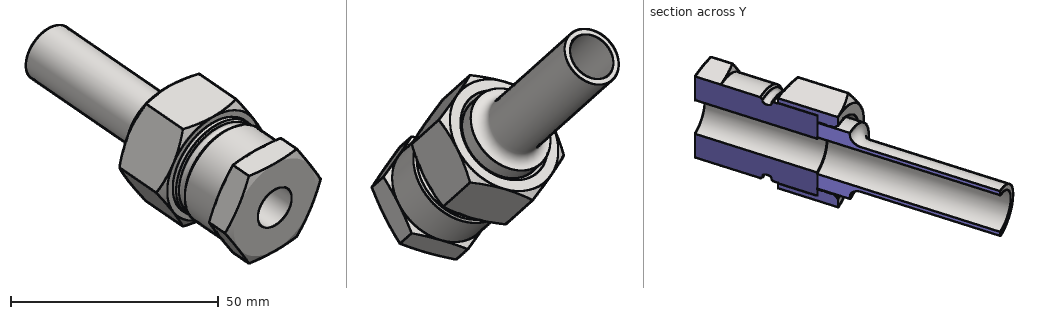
import cadquery as cq
import math

TUBE_START = 0.0
FLARE_START = 36.9
COLLAR_START = 39.85
NUT_START = 43.0
JOINT = 48.6
NUT_END = 59.0
THREAD_END = 60.2
BODY_HEX_START = 74.0
BODY_END = 81.0

TUBE_DIA = 15.0
TUBE_BORE = 12.0
COLLAR_DIA = 22.0
FLARE_RADIUS = COLLAR_START - FLARE_START

NUT_FLATS = 30.0
NUT_MOUTH_DIA = 24.1
NUT_HOLE_DIA = 22.1
NUT_CORNER_SLOPE = 30.0
MOUTH_DEPTH = (NUT_MOUTH_DIA - NUT_HOLE_DIA) / 2

THREAD_DIA = 26.4
BODY_DIA = 27.0
BODY_BORE = 11.0
BODY_FRONT_SLOPE = 15.0
BODY_END_SLOPE = 16.0
BODY_END_FACE_DIA = 26.6
GROOVE_DIA = 23.4
GROOVE_FLOOR_WIDTH = 0.6
GROOVE_FILLET = 0.9
THREAD_CHAMFER = 0.5
BARREL_CHAMFER = 0.6


def revolve_about_x(profile):
    """Turn a closed (x, radius) profile around the X axis."""
    return profile.close().revolve(360, (0, 0, 0), (1, 0, 0))


def cylinder(start, end, diameter):
    return cq.Workplane("YZ", origin=(start, 0, 0)).circle(diameter / 2).extrude(end - start)


def corner_circle(flats):
    return flats / math.cos(math.radians(30))


def chamfered_hex(start, end, flats, start_face_dia, start_slope, end_face_dia, end_slope):
    """Hexagon with corners on +Y and -Y, its corners turned to a cone at both ends."""
    corner_dia = corner_circle(flats)
    prism = cq.Workplane("YZ", origin=(start, 0, 0)).polygon(6, corner_dia).extrude(end - start)
    outer = corner_dia / 2
    start_depth = (outer - start_face_dia / 2) * math.tan(math.radians(start_slope))
    end_depth = (outer - end_face_dia / 2) * math.tan(math.radians(end_slope))
    envelope = revolve_about_x(
        cq.Workplane("XY")
        .moveTo(start, 0)
        .lineTo(start, start_face_dia / 2)
        .lineTo(start + start_depth, outer)
        .lineTo(end - end_depth, outer)
        .lineTo(end, end_face_dia / 2)
        .lineTo(end, 0)
    )
    return prism.intersect(envelope)


def make_tube():
    """Plain tube that flares out to the collar held by the nut."""
    sweep = FLARE_RADIUS * math.sin(math.radians(45))
    flare_top = TUBE_DIA / 2 + FLARE_RADIUS
    return revolve_about_x(
        cq.Workplane("XY")
        .moveTo(TUBE_START, TUBE_BORE / 2)
        .lineTo(TUBE_START, TUBE_DIA / 2)
        .lineTo(FLARE_START, TUBE_DIA / 2)
        .threePointArc((FLARE_START + sweep, flare_top - sweep), (COLLAR_START, flare_top))
        .lineTo(COLLAR_START, COLLAR_DIA / 2)
        .lineTo(JOINT, COLLAR_DIA / 2)
        .lineTo(JOINT, TUBE_BORE / 2)
    )


def make_nut():
    """Union nut: countersunk collar hole, then a wider bore for the body's threaded end."""
    nut = chamfered_hex(
        NUT_START, NUT_END, NUT_FLATS, NUT_FLATS, NUT_CORNER_SLOPE, NUT_FLATS, NUT_CORNER_SLOPE
    )
    mouth = revolve_about_x(
        cq.Workplane("XY")
        .moveTo(NUT_START, 0)
        .lineTo(NUT_START, NUT_MOUTH_DIA / 2)
        .lineTo(NUT_START + MOUTH_DEPTH, NUT_HOLE_DIA / 2)
        .lineTo(NUT_START + MOUTH_DEPTH, 0)
    )
    collar_hole = cylinder(NUT_START, JOINT, NUT_HOLE_DIA)
    thread_bore = cylinder(JOINT, NUT_END, THREAD_DIA)
    return nut.cut(mouth).cut(collar_hole).cut(thread_bore)


def make_body():
    """Threaded end, relief groove, round barrel and end hexagon, bored through."""
    floor = GROOVE_DIA / 2
    arc_top = floor + GROOVE_FILLET
    sweep = GROOVE_FILLET * math.sin(math.radians(45))
    front_wall = THREAD_END + THREAD_CHAMFER
    floor_start = front_wall + GROOVE_FILLET
    floor_end = floor_start + GROOVE_FLOOR_WIDTH
    back_wall = floor_end + GROOVE_FILLET

    turned = revolve_about_x(
        cq.Workplane("XY")
        .moveTo(JOINT, 0)
        .lineTo(JOINT, THREAD_DIA / 2)
        .lineTo(THREAD_END, THREAD_DIA / 2)
        .lineTo(front_wall, THREAD_DIA / 2 - THREAD_CHAMFER)
        .lineTo(front_wall, arc_top)
        .threePointArc((floor_start - sweep, arc_top - sweep), (floor_start, floor))
        .lineTo(floor_end, floor)
        .threePointArc((floor_end + sweep, arc_top - sweep), (back_wall, arc_top))
        .lineTo(back_wall, BODY_DIA / 2 - BARREL_CHAMFER)
        .lineTo(back_wall + BARREL_CHAMFER, BODY_DIA / 2)
        .lineTo(BODY_HEX_START, BODY_DIA / 2)
        .lineTo(BODY_HEX_START, 0)
    )
    hexagon = chamfered_hex(
        BODY_HEX_START, BODY_END, BODY_DIA, BODY_DIA, BODY_FRONT_SLOPE, BODY_END_FACE_DIA, BODY_END_SLOPE
    )
    return turned.union(hexagon).cut(cylinder(JOINT, BODY_END, BODY_BORE))


tube = make_tube()
nut = make_nut()
body = make_body()

result = cq.Compound.makeCompound([tube.val(), nut.val(), body.val()])